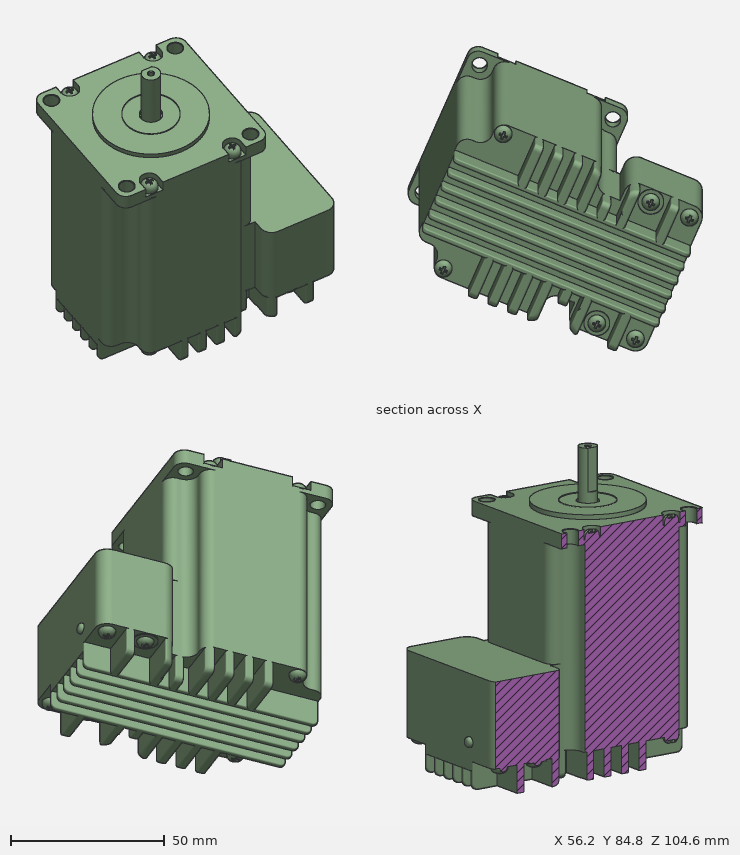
import cadquery as cq

overlap = 1.0

body_side = 56.2
half_side = body_side / 2
corner_radius = 3.7
lobe_side = 18.9
channel_radius = 4.2
body_bottom = 9.6
flange_thickness = 5.2
flange_top = 84.9
flange_bottom = flange_top - flange_thickness

pilot_diameter = 38.1
pilot_height = 1.6
pilot_top = flange_top + pilot_height
recess_diameter = 19.0
recess_depth = 0.3
shaft_diameter = 6.35
shaft_top = 104.6
bearing_hole_diameter = 7.6
flat_length = 14.8
flat_offset = 2.6
center_hole_diameter = 1.6
center_hole_depth = 4.0
center_hole_chamfer = 0.35

mount_hole_offset = 47.14 / 2
mount_hole_diameter = 5.1
mount_hole_chamfer = 0.2
screw_x = 24.9
screw_y = 15.8
screw_pocket_width = 6.5
screw_pocket_depth = 3.5
screw_head_diameter = 5.8
screw_head_height = 3.0
screw_crown_radius = 2.2
lower_head_height = 2.3
cross_length = 2.6
cross_width = 0.7
cross_depth = 1.0

box_width = 53.3
box_length = 27.2
box_top = 39.1
box_corner_radius = 4.2
box_back = half_side + box_length
box_screw_x = box_width / 2 - box_corner_radius
box_corner_screw_y = box_back - box_corner_radius
washer_diameter = 2 * box_corner_radius
washer_thickness = 0.4
knob_x = -11.7
knob_z = 16.0
knob_diameter = 3.7
knob_length = 1.4
knob_crown_radius = 1.2

fin_root_z = 6.4
fin_end_radius = 2.0
fin_edge_radius = 0.5
long_fin_count = 6
long_fin_thickness = 1.6
sink_half_width = 13.7
long_fin_pitch = (2 * sink_half_width - long_fin_thickness) / (long_fin_count - 1)
side_fin_thickness = 2.95
side_fin_pitch = 6.95
side_fin_first_y = -4.25
side_fin_steps = (0, 1, 2, 3, 4, 5, 7)
screw_gap_step = 6


def slab(x_range, y_range, z_range):
    """Rectangular block between the given limits."""
    size = [high - low for low, high in (x_range, y_range, z_range)]
    block = cq.Workplane("XY").box(*size, centered=False)
    return block.translate((x_range[0], y_range[0], z_range[0]))


def cylinder(x, y, bottom, top, diameter):
    return cq.Workplane("XY", origin=(x, y, bottom)).circle(diameter / 2).extrude(top - bottom)


def corner_channel(bottom, top):
    """Material removed at the +X +Y corner: a rounded channel with flared mouths."""
    s = half_side
    lobe_center = s - corner_radius
    mouth = lobe_side - corner_radius
    channel_center = lobe_side + channel_radius
    half_diagonal = 0.5 ** 0.5
    lobe_mid = corner_radius * half_diagonal
    channel_mid = channel_center - channel_radius * half_diagonal
    beyond = s + overlap
    return (
        cq.Workplane("XY", origin=(0, 0, bottom))
        .moveTo(mouth, beyond)
        .lineTo(mouth, s)
        .threePointArc((mouth + lobe_mid, lobe_center + lobe_mid), (lobe_side, lobe_center))
        .lineTo(lobe_side, channel_center)
        .threePointArc((channel_mid, channel_mid), (channel_center, lobe_side))
        .lineTo(lobe_center, lobe_side)
        .threePointArc((lobe_center + lobe_mid, mouth + lobe_mid), (s, mouth))
        .lineTo(beyond, mouth)
        .lineTo(beyond, beyond)
        .close()
        .extrude(top - bottom)
    )


def motor_column(bottom, top):
    """Square motor column with a channel along each corner."""
    column = slab((-half_side, half_side), (-half_side, half_side), (bottom, top))
    for quarter in range(4):
        channel = corner_channel(bottom, top).rotate((0, 0, 0), (0, 0, 1), 90 * quarter)
        column = column.cut(channel)
    return column


def box_column(bottom, top):
    """Rounded driver box with the neck that joins it to the motor."""
    box = slab((-box_width / 2, box_width / 2), (half_side, box_back), (bottom, top))
    box = box.edges("|Z").fillet(box_corner_radius)
    neck = slab((-lobe_side, lobe_side), (half_side - corner_radius, half_side + overlap), (bottom, top))
    return box.union(neck)


def domed_head(diameter, height, crown_radius):
    """Round head with a rounded top edge, standing on the XY plane."""
    return cylinder(0, 0, 0, height, diameter).faces(">Z").edges().fillet(crown_radius)


def screw_head(height):
    """Domed head with a cross recess, standing on the XY plane."""
    head = domed_head(screw_head_diameter, height, screw_crown_radius)
    recess_z = (height - cross_depth, height)
    arm = (-cross_length / 2, cross_length / 2)
    width = (-cross_width / 2, cross_width / 2)
    return head.cut(slab(arm, width, recess_z)).cut(slab(width, arm, recess_z))


def mounting_hole(x, y):
    """Tool for a flange hole with a chamfered upper rim."""
    hole = cylinder(x, y, flange_bottom, flange_top, mount_hole_diameter)
    rim_plane = cq.Workplane("XY", origin=(x, y, flange_top - mount_hole_chamfer))
    rim = rim_plane.circle(mount_hole_diameter / 2).extrude(mount_hole_chamfer, taper=-45)
    return hole.union(rim)


def flange():
    plate = slab((-half_side, half_side), (-half_side, half_side), (flange_bottom, flange_top))
    plate = plate.edges("|Z").fillet(corner_radius)
    pocket_floor = flange_top - screw_pocket_depth
    half_pocket = screw_pocket_width / 2
    head = screw_head(screw_head_height)
    for side_x in (-1, 1):
        outer = sorted((side_x * screw_x, side_x * (half_side + overlap)))
        for side_y in (-1, 1):
            hole_x = side_x * mount_hole_offset
            hole_y = side_y * mount_hole_offset
            plate = plate.cut(mounting_hole(hole_x, hole_y))
            x = side_x * screw_x
            y = side_y * screw_y
            plate = plate.cut(cylinder(x, y, pocket_floor, flange_top, screw_pocket_width))
            pocket_mouth = slab(outer, (y - half_pocket, y + half_pocket), (pocket_floor, flange_top))
            plate = plate.cut(pocket_mouth)
            plate = plate.union(head.translate((x, y, pocket_floor)))
    return plate


def pilot_and_shaft():
    pilot = cylinder(0, 0, flange_top, pilot_top, pilot_diameter)
    pilot = pilot.cut(cylinder(0, 0, pilot_top - recess_depth, pilot_top, recess_diameter))
    pilot = pilot.cut(cylinder(0, 0, flange_top, pilot_top, bearing_hole_diameter))
    shaft = cylinder(0, 0, flange_top - overlap, shaft_top, shaft_diameter)
    radius = shaft_diameter / 2
    flat_z = (shaft_top - flat_length, shaft_top)
    shaft = shaft.cut(slab((-radius, -flat_offset), (-radius, radius), flat_z))
    shaft = shaft.cut(cylinder(0, 0, shaft_top - center_hole_depth, shaft_top, center_hole_diameter))
    rim = cq.selectors.RadiusNthSelector(0)
    shaft = shaft.faces(">Z").edges(rim).chamfer(center_hole_chamfer)
    return pilot.union(shaft)


def lower_screws():
    """Screw heads, with washers in the fin gap, hanging under the motor lobes and the box."""
    head = screw_head(lower_head_height).rotate((0, 0, 0), (1, 0, 0), 180)
    gap_screw_y = side_fin_first_y + screw_gap_step * side_fin_pitch
    washer_bottom = body_bottom - washer_thickness
    screws = []
    for side in (-1, 1):
        motor_screw = head.translate((side * screw_x, -screw_y, body_bottom))
        corner_screw = head.translate((side * box_screw_x, box_corner_screw_y, body_bottom))
        gap_screw = head.translate((side * box_screw_x, gap_screw_y, body_bottom))
        washer = cylinder(side * box_screw_x, gap_screw_y, washer_bottom, body_bottom, washer_diameter)
        screws += [motor_screw, corner_screw, washer, gap_screw]
    return screws


def round_outer_end(fin, inner):
    """Round the upright edges at a side fin's outer end and the edges that run on under it."""
    edges = fin.faces("<Y or >Y").edges("|Z")
    edges = edges.filter(lambda edge: abs(edge.Center().x) > inner + fin_edge_radius)
    return edges.fillet(fin_edge_radius)


def heat_sink():
    """Lengthwise fins under a central slab, with cross fins on both flanks."""
    envelope = motor_column(0, body_bottom).union(box_column(0, body_bottom))
    envelope = envelope.faces("<Z").edges().fillet(fin_end_radius)
    y_range = (-half_side, box_back)
    sink = slab((-sink_half_width, sink_half_width), y_range, (fin_root_z, body_bottom))
    sink = sink.edges("|Z").fillet(fin_edge_radius)

    for index in range(long_fin_count):
        left = -sink_half_width + index * long_fin_pitch
        fin = slab((left, left + long_fin_thickness), y_range, (0, fin_root_z))
        fin = fin.faces("<Z").edges("|X").fillet(fin_end_radius)
        fin = fin.faces("<Y or >Y").edges("|Z").fillet(fin_edge_radius)
        sink = sink.union(fin)

    inner = sink_half_width - long_fin_thickness / 2
    for step in side_fin_steps:
        y = side_fin_first_y + step * side_fin_pitch
        y_limits = (y - side_fin_thickness / 2, y + side_fin_thickness / 2)
        for x_limits in ((-half_side, -inner), (inner, half_side)):
            fin = envelope.intersect(slab(x_limits, y_limits, (0, body_bottom)))
            sink = sink.union(round_outer_end(fin, inner))
    return sink


def knob():
    """Small domed knob on the back of the box."""
    head = domed_head(knob_diameter, knob_length, knob_crown_radius)
    return head.rotate((0, 0, 0), (1, 0, 0), -90).translate((knob_x, box_back, knob_z))


result = motor_column(body_bottom, flange_bottom)
result = result.union(box_column(body_bottom, box_top))
result = result.union(heat_sink())
result = result.union(flange())
result = result.union(pilot_and_shaft())
result = result.union(knob())
for lower_screw in lower_screws():
    result = result.union(lower_screw)